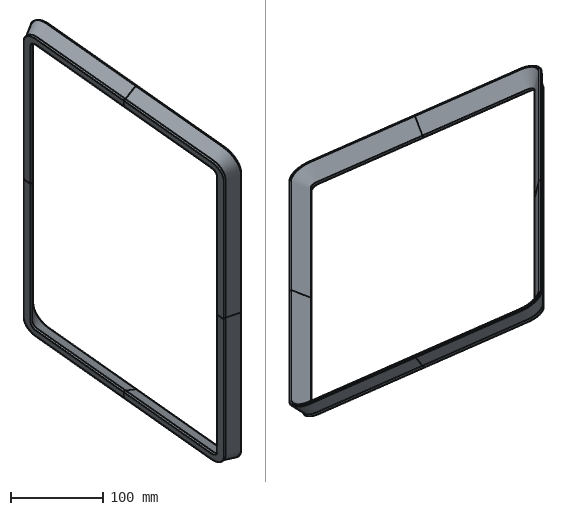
import cadquery as cq

width = 307.5
depth = 21.0
height = 527.5

corner_radius = 25.5
rear_rim_depth = 1.5
rear_rim_inset = 0.55
rear_face_inset = 3.0
front_rim_depth = 3.0
front_inset = 7.5
front_face_width = 10.0
lip_depth = 3.0

opening_inset = front_inset + front_face_width
front_y = -depth / 2
rear_y = depth / 2
left_x = -width / 2
top_z = height / 2
corner_x = left_x + corner_radius
corner_z = top_z - corner_radius


def rail_section(plane):
    """Closed rail section; local x is the inset from the outer edge, local y runs to the rear."""
    return (
        cq.Workplane(plane)
        .moveTo(rear_rim_inset, rear_y)
        .lineTo(0, rear_y - rear_rim_depth)
        .lineTo(front_inset, front_y + front_rim_depth)
        .lineTo(front_inset, front_y)
        .lineTo(opening_inset, front_y)
        .lineTo(opening_inset, front_y + lip_depth)
        .lineTo(rear_face_inset, rear_y)
        .close()
    )


def frame_quarter():
    """Upper left quarter: half a side rail, a rounded corner and half a top rail."""
    side_plane = cq.Plane(origin=(left_x, 0, corner_z), xDir=(1, 0, 0), normal=(0, 0, 1))
    top_plane = cq.Plane(origin=(corner_x, 0, top_z), xDir=(0, 0, -1), normal=(1, 0, 0))

    side = rail_section(side_plane).extrude(-corner_z)
    corner = rail_section(side_plane).revolve(90, (corner_radius, 0), (corner_radius, 1))
    top = rail_section(top_plane).extrude(-corner_x)

    return side.union(corner, clean=False).union(top, clean=False)


quarters = []
for on_right in (False, True):
    for on_bottom in (False, True):
        quarter = frame_quarter()
        if on_right:
            quarter = quarter.mirror("YZ")
        if on_bottom:
            quarter = quarter.mirror("XY")
        quarters.append(quarter)

result = cq.Compound.makeCompound([quarter.solids().val() for quarter in quarters])